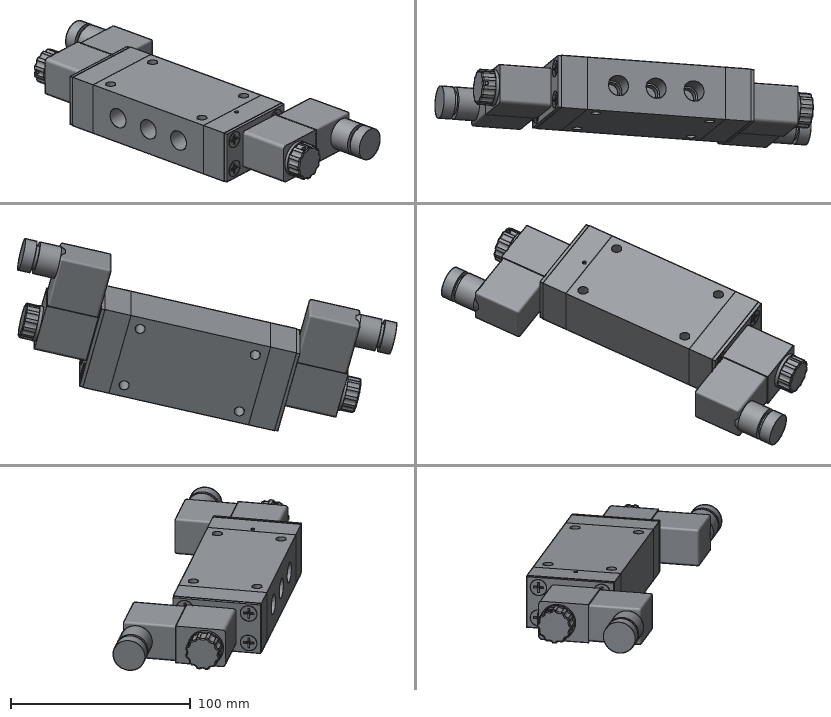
import cadquery as cq
import math


body_length = 80.0
body_depth = 50.0
body_height = 30.0
bolt_hole_dia = 5.5
bolt_spacing_x = 66.0
fastener_spacing_y = 36.2
port_dia = 9.4
port_mouth_dia = 11.5
port_pitch = 22.0
port_mouth_depth = 12.8
port_depth = 17.0
port_count = 3

cap_length = 16.8
plate_thickness = 2.0
plate_inset = 0.2
screw_head_dia = 9.4
screw_head_recess = 0.2
screw_spacing_z = 17.9
cross_length = 6.0
cross_width = 1.0
cross_depth = 1.3
vent_dia = 2.0
vent_depth = 1.0
vent_offset = 3.0

overall_length = 213.0
coil_length = 29.6
coil_front = -11.0
coil_back = 17.3
coil_height = 22.4
coil_fillet = 2.0
hood_back = 47.3
hood_height = 21.3
hood_setback = 0.6
hood_fillet = 1.3

gland_dia = 18.0
gland_y = 39.6
gland_groove_dia = 13.5
gland_groove_width = 2.0
gland_nut_length = 6.5
gland_taper_length = 2.5
gland_root_dia = 15.8

knob_flange_dia = 20.0
knob_flange = 2.0
knob_grip_dia = 19.5
knob_grip_length = 7.7
knob_chamfer = 0.6
flute_count = 12
flute_dia = 4.5
flute_half_angle = 9.5
marker_dia = 2.0
marker_inset = 2.3
marker_clearance = 0.5
left_marker_angle = 180.0
right_marker_angle = 105.0

body_end = body_length / 2
cap_end = body_end + cap_length
coil_end = cap_end + coil_length
knob_end = coil_end + knob_flange + knob_grip_length
hood_end = coil_end - hood_setback
gland_end = overall_length / 2
grip_radius = knob_grip_dia / 2
flange_radius = knob_flange_dia / 2


def make_valve_body():
    block = cq.Workplane("XY").box(body_length, body_depth, body_height)
    block = (
        block.faces(">Z").workplane(origin=(0, 0, 0))
        .rarray(bolt_spacing_x, fastener_spacing_y, 2, 2).hole(bolt_hole_dia)
    )
    return (
        block.faces("<Y").workplane(origin=(0, 0, 0))
        .rarray(port_pitch, 2.1, port_count, 1)
        .cboreHole(port_dia, port_mouth_dia, port_mouth_depth, port_depth)
    )


def make_cross_recess():
    """Two crossed V-shaped slots that are deepest at the screw axis."""
    half_length = cross_length / 2
    slot = (
        cq.Workplane("XZ").polyline([(0, -half_length), (0, half_length), (-cross_depth, 0)]).close()
        .extrude(cross_width / 2, both=True)
    )
    return slot.union(slot.rotate((0, 0, 0), (1, 0, 0), 90))


def make_cap():
    """End cap on the +X side, with an inset outer plate held by four cross-head screws."""
    block_length = cap_length - plate_thickness
    cap = cq.Workplane("YZ", origin=(body_end, 0, 0)).rect(body_depth, body_height).extrude(block_length)
    plate = (
        cq.Workplane("YZ", origin=(body_end + block_length, 0, 0))
        .rect(body_depth - 2 * plate_inset, body_height - 2 * plate_inset).extrude(plate_thickness)
    )
    cap = cap.union(plate)
    end_face = cq.Workplane("YZ", origin=(cap_end, 0, 0))
    screws = end_face.rarray(fastener_spacing_y, screw_spacing_z, 2, 2)
    cap = cap.cut(screws.circle(screw_head_dia / 2).extrude(-screw_head_recess))
    for y in (-fastener_spacing_y / 2, fastener_spacing_y / 2):
        for z in (-screw_spacing_z / 2, screw_spacing_z / 2):
            cap = cap.cut(make_cross_recess().translate((cap_end - screw_head_recess, y, z)))
    return cap


def add_vent(cap):
    vent = (
        cq.Workplane("XY", origin=(body_end + vent_offset, 0, body_height / 2))
        .circle(vent_dia / 2).extrude(-vent_depth)
    )
    return cap.cut(vent)


def make_coil():
    return (
        cq.Workplane("XY")
        .box(coil_length, coil_back - coil_front, coil_height, centered=False)
        .translate((cap_end, coil_front, -coil_height / 2))
        .edges("|X and <Y").fillet(coil_fillet)
    )


def make_hood():
    return (
        cq.Workplane("XY")
        .box(hood_end - cap_end, hood_back - coil_back, hood_height, centered=False)
        .translate((cap_end, coil_back, -hood_height / 2))
        .faces("not <Y").edges("not <Y").fillet(hood_fillet)
    )


def make_gland():
    """Cable gland turned about an axis along X, its tapered root sunk into the hood."""
    radius = gland_dia / 2
    groove_radius = gland_groove_dia / 2
    groove_outer = gland_end - gland_nut_length
    groove_inner = groove_outer - gland_groove_width
    profile = [
        (hood_end - gland_taper_length, 0),
        (hood_end - gland_taper_length, gland_root_dia / 2),
        (hood_end, radius),
        (groove_inner, radius),
        (groove_inner, groove_radius),
        (groove_outer, groove_radius),
        (groove_outer, radius),
        (gland_end, radius),
        (gland_end, 0),
    ]
    gland = cq.Workplane("XY").polyline(profile).close().revolve(360, (0, 0, 0), (1, 0, 0))
    return gland.translate((0, gland_y, 0))


def make_knob(marker_angle):
    """Fluted knob about the X axis; marker_angle is measured from +Y towards +Z."""
    half_angle = math.radians(flute_half_angle)
    half_chord = grip_radius * math.sin(half_angle)
    flute_radius = flute_dia / 2
    flute_centre = grip_radius * math.cos(half_angle) + math.sqrt(flute_radius**2 - half_chord**2)

    flange = cq.Workplane("YZ", origin=(coil_end, 0, 0)).circle(flange_radius).extrude(knob_flange)
    grip_plane = cq.Workplane("YZ", origin=(coil_end + knob_flange, 0, 0))
    flutes = (
        grip_plane.polarArray(flute_centre, 0, 360, flute_count)
        .circle(flute_radius).extrude(knob_grip_length)
    )
    grip = grip_plane.circle(grip_radius).extrude(knob_grip_length).cut(flutes)
    grip = grip.faces(">X").chamfer(knob_chamfer)
    marker = (
        cq.Workplane("XZ", origin=(knob_end - marker_inset, 0, 0))
        .circle(marker_dia / 2).extrude(-(grip_radius - marker_clearance))
    )
    knob = flange.union(grip).union(marker)
    return knob.rotate((0, 0, 0), (1, 0, 0), marker_angle)


def make_solenoid(marker_angle):
    """Solenoid on the +X side: coil, hood, cable gland and knob in one piece."""
    return make_coil().union(make_hood()).union(make_gland()).union(make_knob(marker_angle))


valve_body = make_valve_body()

right_cap = add_vent(make_cap())
left_cap = make_cap().mirror("YZ")

right_solenoid = make_solenoid(right_marker_angle)
left_solenoid = make_solenoid(left_marker_angle).mirror("YZ")

result = cq.Compound.makeCompound([
    valve_body.val(),
    left_cap.val(),
    right_cap.val(),
    left_solenoid.val(),
    right_solenoid.val(),
])